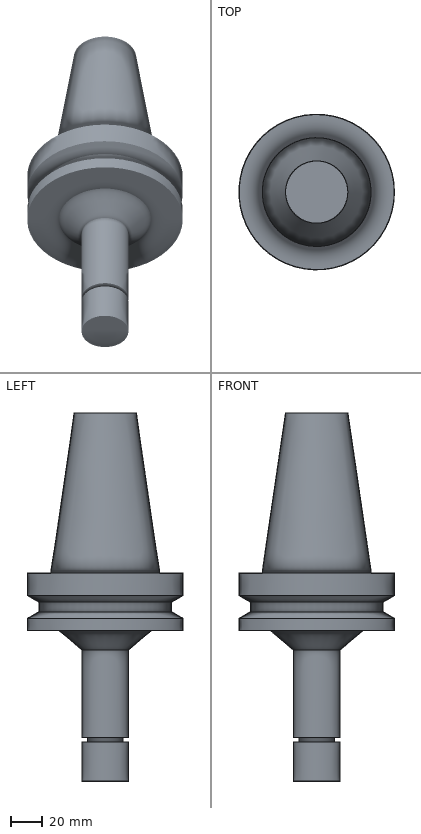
import cadquery as cq
import math

total_height = 236.8

shank_diameter = 30.0
neck_diameter = 23.0
cap_height = 25.3
neck_height = 2.8

shank_top = 84.5
cone_height = 12.3
cone_top_diameter = 59.2

flange_diameter = 100.0
flange_height = 37.0
lower_rim_height = 7.8
groove_root_diameter = 85.0
groove_root_height = 6.2
groove_flank_angle = 30.0

taper_base_diameter = 69.9
taper_top_diameter = 40.0
collar_height = 1.5

neck_top = cap_height + neck_height
flange_bottom = shank_top + cone_height
flange_top = flange_bottom + flange_height
groove_depth = (flange_diameter - groove_root_diameter) / 2
flank_height = groove_depth * math.tan(math.radians(groove_flank_angle))
groove_bottom = flange_bottom + lower_rim_height
root_bottom = groove_bottom + flank_height
root_top = root_bottom + groove_root_height
groove_top = root_top + flank_height
collar_top = flange_top + collar_height


def make_holder():
    """Turned holder: neck, shank, cone, grooved flange and spindle taper."""
    stations = [
        (neck_diameter, cap_height),
        (neck_diameter, neck_top),
        (shank_diameter, neck_top),
        (shank_diameter, shank_top),
        (cone_top_diameter, flange_bottom),
        (flange_diameter, flange_bottom),
        (flange_diameter, groove_bottom),
        (groove_root_diameter, root_bottom),
        (groove_root_diameter, root_top),
        (flange_diameter, groove_top),
        (flange_diameter, flange_top),
        (taper_base_diameter, flange_top),
        (taper_base_diameter, collar_top),
        (taper_top_diameter, total_height),
    ]
    half_profile = [(diameter / 2, height) for diameter, height in stations]
    axis_bottom = (0, cap_height)
    axis_top = (0, total_height)
    outline = cq.Workplane("XZ").polyline([axis_bottom, *half_profile, axis_top]).close()
    return outline.revolve(360, (0, 0), (0, 1))


def make_nose_cap():
    """Plain cylindrical cap that meets the underside of the neck."""
    return cq.Workplane("XY").circle(shank_diameter / 2).extrude(cap_height)


holder = make_holder()
nose_cap = make_nose_cap()

result = cq.Compound.makeCompound([holder.val(), nose_cap.val()])